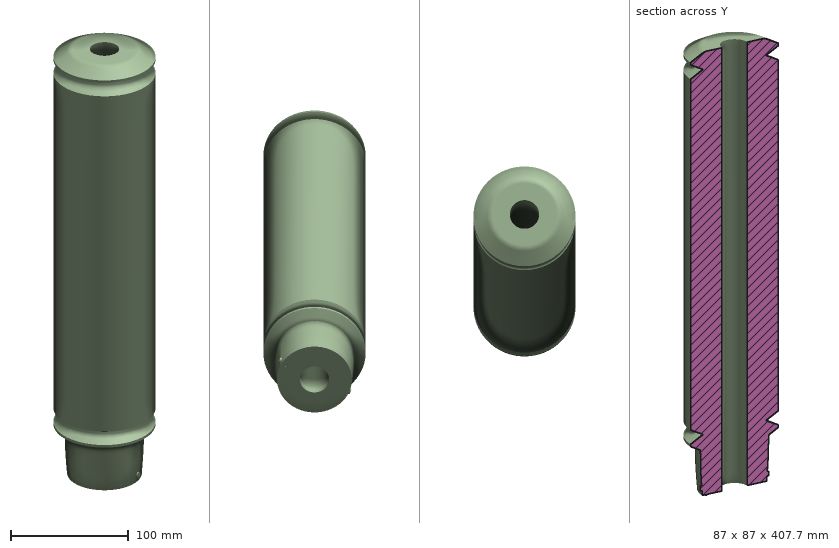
import cadquery as cq
import math

total_height = 407.7
body_radius = 87.0 / 2
bore_diameter = 25.0

root_radius = 31.5
flank_angle = math.radians(28)
groove_half_height = (body_radius - root_radius) * math.tan(flank_angle)
rim_height = 2.5

top_flat_radius = 55.0 / 2
top_edge_radius = 8.0

shank_foot = 1.0
shank_top = 43.0
shank_height = shank_top - shank_foot
shank_top_radius = 34.0
shank_bottom_radius = 32.0

pin_diameter = 5.0
pin_height = 7.7
pin_tip_radius = 34.0

peg_diameter = 1.2
peg_offset = 27.7


def top_edge_point(angle):
    """Point on the top rounding, at an angle measured from the part axis."""
    return (
        top_flat_radius + top_edge_radius * math.sin(angle),
        total_height - top_edge_radius * (1 - math.cos(angle)),
    )


def shank_middle_point():
    """Middle of the shank arc, whose centre is level with the shank top."""
    inset = shank_top_radius - shank_bottom_radius
    arc_radius = (shank_height**2 + inset**2) / (2 * inset)
    half_sweep = math.asin(shank_height / arc_radius) / 2
    return (
        shank_top_radius - arc_radius * (1 - math.cos(half_sweep)),
        shank_top - arc_radius * math.sin(half_sweep),
    )


def turned_body():
    """Revolved shank, lower flange, long cylinder and upper flange."""
    flange_drop = (body_radius - shank_top_radius) * math.tan(flank_angle)
    lower_rim_bottom = shank_top + flange_drop
    lower_rim_top = lower_rim_bottom + rim_height
    lower_root = lower_rim_top + groove_half_height
    body_bottom = lower_root + groove_half_height

    cone_top_radius, cone_top = top_edge_point(flank_angle)
    upper_rim_top = cone_top - (body_radius - cone_top_radius) * math.tan(flank_angle)
    upper_rim_bottom = upper_rim_top - rim_height
    upper_root = upper_rim_bottom - groove_half_height
    body_top = upper_root - groove_half_height

    profile = (
        cq.Workplane("XZ")
        .moveTo(0, shank_foot)
        .lineTo(shank_bottom_radius, shank_foot)
        .threePointArc(shank_middle_point(), (shank_top_radius, shank_top))
        .lineTo(body_radius, lower_rim_bottom)
        .lineTo(body_radius, lower_rim_top)
        .lineTo(root_radius, lower_root)
        .lineTo(body_radius, body_bottom)
        .lineTo(body_radius, body_top)
        .lineTo(root_radius, upper_root)
        .lineTo(body_radius, upper_rim_bottom)
        .lineTo(body_radius, upper_rim_top)
        .lineTo(cone_top_radius, cone_top)
        .threePointArc(top_edge_point(flank_angle / 2), (top_flat_radius, total_height))
        .lineTo(0, total_height)
        .close()
    )
    return profile.revolve(360, (0, 0, 0), (0, 1, 0))


def side_pins():
    """One pin along X that shows on both sides of the shank."""
    return (
        cq.Workplane("YZ")
        .center(0, pin_height)
        .circle(pin_diameter / 2)
        .extrude(pin_tip_radius, both=True)
    )


def bottom_peg():
    """Small peg on the -X side of the bottom face, rooted inside the shank."""
    return (
        cq.Workplane("XY")
        .center(-peg_offset, 0)
        .circle(peg_diameter / 2)
        .extrude(2 * shank_foot)
    )


def through_bore():
    """Axial hole through the whole part."""
    return cq.Workplane("XY").circle(bore_diameter / 2).extrude(total_height)


result = turned_body().union(side_pins()).union(bottom_peg()).cut(through_bore())